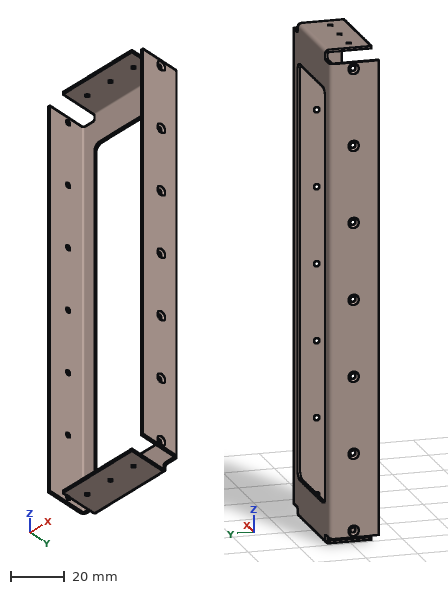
import cadquery as cq

WIDTH = 49.41
DEPTH = 19.0
HEIGHT = 192.47

SHEET = 1.0
BEND_INNER_RADIUS = 0.7
BEND_OUTER_RADIUS = BEND_INNER_RADIUS + SHEET

END_FLANGE_WIDTH = 35.9
END_FLANGE_DEPTH = 18.0
NOTCH_HEIGHT = 3.735
NOTCH_RADIUS = 1.0
SIDE_FLANGE_HEIGHT = HEIGHT - 2 * NOTCH_HEIGHT

WINDOW_WIDTH = END_FLANGE_WIDTH
WINDOW_HEIGHT = 162.0
WINDOW_RADIUS = 3.0

SIDE_HOLE_COUNT = 7
SIDE_HOLE_PITCH = 30.0
SIDE_HOLE_FROM_BACK = 9.15
SIDE_HOLE_DIAMETER = 2.0
COUNTERSINK_DIAMETER = 4.0
COUNTERSINK_ANGLE = 90.0

END_HOLE_COUNT = 3
END_HOLE_PITCH = 12.0
END_HOLE_FROM_BACK = 11.0
END_HOLE_DIAMETER = 1.6

BACK_Y = DEPTH / 2


def bent_channel(span, depth, length):
    """U channel along Z: web at the back, two legs toward -Y, rounded bends."""
    outer = cq.Workplane("XY").box(span, depth, length)
    outer = outer.translate((0, BACK_Y - depth / 2, 0))
    outer = outer.edges("|Z and >Y").fillet(BEND_OUTER_RADIUS)
    inner = cq.Workplane("XY").box(span - 2 * SHEET, depth, length)
    inner = inner.translate((0, BACK_Y - SHEET - depth / 2, 0))
    inner = inner.edges("|Z and >Y").fillet(BEND_INNER_RADIUS)
    return outer.cut(inner)


def folded_sheet():
    """Side channel and end channel joined in one shared back web."""
    side_channel = bent_channel(WIDTH, DEPTH, SIDE_FLANGE_HEIGHT)
    end_channel = bent_channel(HEIGHT, END_FLANGE_DEPTH, END_FLANGE_WIDTH)
    end_channel = end_channel.rotate((0, 0, 0), (0, 1, 0), 90)
    return side_channel.union(end_channel)


def round_notches(body):
    """Round the inside corner of the four notches between neighbouring flanges."""
    corner_x = END_FLANGE_WIDTH / 2
    corner_z = SIDE_FLANGE_HEIGHT / 2
    reach = NOTCH_RADIUS / 2
    for side in (-1, 1):
        for end in (-1, 1):
            x = side * corner_x
            z = end * corner_z
            picker = cq.selectors.BoxSelector(
                (x - reach, BACK_Y - SHEET, z - reach),
                (x + reach, BACK_Y, z + reach),
            )
            body = body.edges(picker).edges("|Y").fillet(NOTCH_RADIUS)
    return body


def window():
    """Rounded opening through the back web."""
    block = cq.Workplane("XY").box(WINDOW_WIDTH, 2 * SHEET, WINDOW_HEIGHT)
    return block.edges("|Y").fillet(WINDOW_RADIUS).translate((0, BACK_Y, 0))


def drill_side_flanges(body):
    """Row of holes in each side flange, countersunk from outside."""
    for face in ("<X", ">X"):
        body = (
            body.faces(face)
            .workplane(origin=(0, BACK_Y - SIDE_HOLE_FROM_BACK, 0))
            .rarray(1, SIDE_HOLE_PITCH, 1, SIDE_HOLE_COUNT)
            .cskHole(SIDE_HOLE_DIAMETER, COUNTERSINK_DIAMETER, COUNTERSINK_ANGLE, depth=2 * SHEET)
        )
    return body


def end_holes():
    """Row of drills running through both end flanges."""
    return (
        cq.Workplane("XY", origin=(0, BACK_Y - END_HOLE_FROM_BACK, 0))
        .rarray(END_HOLE_PITCH, 1, END_HOLE_COUNT, 1)
        .circle(END_HOLE_DIAMETER / 2)
        .extrude(HEIGHT, both=True)
    )


frame = round_notches(folded_sheet())
frame = frame.cut(window())
frame = drill_side_flanges(frame)
result = frame.cut(end_holes())